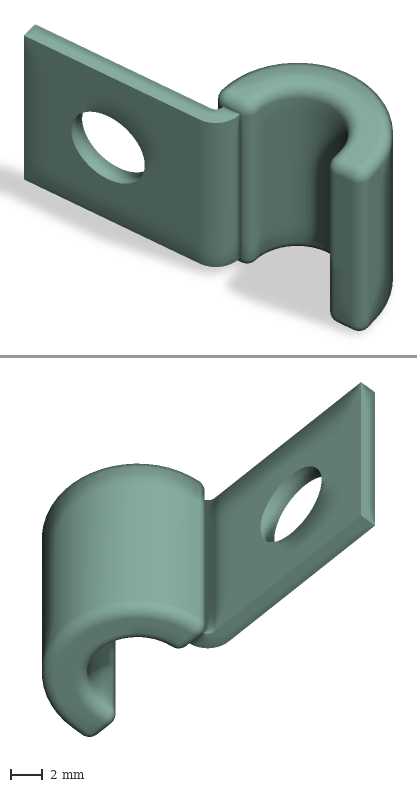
import cadquery as cq


strip_thickness = 1.22
strip_width = 12.7
bend_inner_radius = 0.59
bend_outer_radius = bend_inner_radius + strip_thickness

cushion_thickness = 0.794
cushion_inner_radius = 3.175
cushion_outer_radius = cushion_inner_radius + strip_thickness + 2 * cushion_thickness
cushion_width = strip_width + 2 * cushion_thickness

overall_length = 25.03
overall_height = 8.36

hole_diameter = 5.556
hole_to_tab_end = 6.35

tab_end_x = cushion_outer_radius - overall_length
tab_bottom_y = cushion_outer_radius - overall_height
tab_top_y = tab_bottom_y + strip_thickness
tab_side_end_y = tab_bottom_y + bend_outer_radius
free_end_y = -2 * cushion_thickness
strip_inner_radius = cushion_inner_radius + cushion_thickness
strip_outer_radius = strip_inner_radius + strip_thickness


def make_cushion():
    """Half ring with straight legs, every edge fully rounded down to the strip."""
    profile = (
        cq.Workplane("XY")
        .moveTo(-cushion_outer_radius, tab_side_end_y)
        .lineTo(-cushion_outer_radius, 0)
        .threePointArc((0, cushion_outer_radius), (cushion_outer_radius, 0))
        .lineTo(cushion_outer_radius, free_end_y)
        .lineTo(cushion_inner_radius, free_end_y)
        .lineTo(cushion_inner_radius, 0)
        .threePointArc((0, cushion_inner_radius), (-cushion_inner_radius, 0))
        .lineTo(-cushion_inner_radius, tab_side_end_y)
        .close()
    )
    body = profile.extrude(cushion_width / 2, both=True)
    return body.faces("|Z or -Y").edges().fillet(cushion_thickness)


def make_tab():
    """Flat tab and the quarter bend that carries the strip into the cushion."""
    bend_center_x = -strip_outer_radius - bend_inner_radius
    root_y = 0
    tab = (
        cq.Workplane("XY")
        .moveTo(tab_end_x, tab_bottom_y)
        .lineTo(bend_center_x, tab_bottom_y)
        .radiusArc((-strip_inner_radius, tab_side_end_y), -bend_outer_radius)
        .lineTo(-strip_inner_radius, root_y)
        .lineTo(-strip_outer_radius, root_y)
        .lineTo(-strip_outer_radius, tab_side_end_y)
        .radiusArc((bend_center_x, tab_top_y), bend_inner_radius)
        .lineTo(tab_end_x, tab_top_y)
        .close()
        .extrude(strip_width / 2, both=True)
    )
    hole = (
        cq.Workplane("XZ", origin=(tab_end_x + hole_to_tab_end, 0, 0))
        .circle(hole_diameter / 2)
        .extrude(overall_height, both=True)
    )
    return tab.cut(hole)


result = make_cushion().union(make_tab())